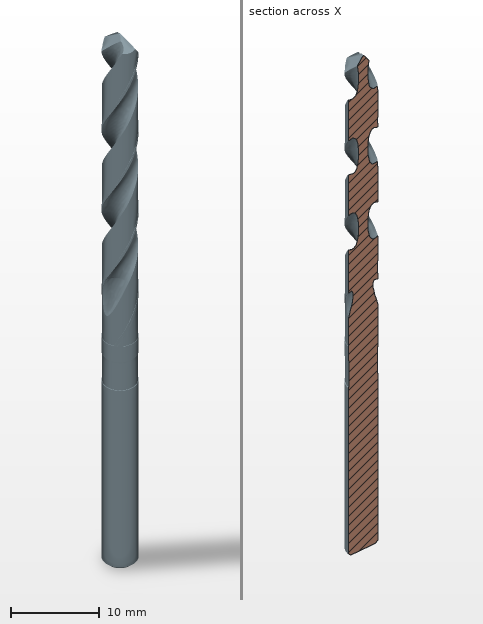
import cadquery as cq
import math

total_length = 75.0
drill_radius = 2.1
shank_chamfer = 0.4

shank_top = 25.65
neck_top = 29.7
margin_start = 31.95
runout_start = 35.7
flute_start = 40.65

neck_radius = 2.0
margin_height = 0.045
body_radius = drill_radius - margin_height

flute_count = 2
helix_pitch = 22.8
core_radius = 0.7
flute_radius = 1.4
flute_offset = core_radius + flute_radius
flute_zero_height = 66.2
flute_half_angle = 40.0
runout_turn = 35.0
margin_angle = 9.0
margin_overlap = 5.0

ridge_angle = 3.0
ridge_slope = 0.72
flank_slope = 1.5
chisel_half_length = 0.15
chisel_half_width = 0.1
point_depth = 4.5


def flute_angle(height):
    return 360.0 * (height - flute_zero_height) / helix_pitch


def polar_point(radius, angle):
    turn = math.radians(angle)
    return radius * math.cos(turn), radius * math.sin(turn)


def twisted(profile, bottom, angle):
    """Extrude a profile from bottom to the tip, turning it with the flutes."""
    length = total_length - bottom
    solid = profile.twistExtrude(length, 360.0 * length / helix_pitch)
    return solid.rotate((0, 0, 0), (0, 0, 1), angle).translate((0, 0, bottom))


def margin_rib(angle):
    """Narrow raised band on the leading edge of a land."""
    first = -flute_half_angle - margin_angle
    last = -flute_half_angle + margin_overlap
    inner = core_radius + flute_radius / 2
    profile = (
        cq.Workplane("XY")
        .moveTo(*polar_point(inner, first))
        .lineTo(*polar_point(drill_radius, first))
        .threePointArc(
            polar_point(drill_radius, (first + last) / 2),
            polar_point(drill_radius, last),
        )
        .lineTo(*polar_point(inner, last))
        .close()
    )
    return twisted(profile, margin_start, flute_angle(margin_start) + angle)


def flute_cutter(angle):
    """Helical flute with a round section."""
    profile = cq.Workplane("XY").moveTo(flute_offset, 0).circle(flute_radius)
    return twisted(profile, flute_start, flute_angle(flute_start) + angle)


def flute_runout(angle):
    """Tapered end of a flute that rises out to the drill surface."""
    exit_x, exit_y = polar_point(drill_radius + flute_radius, -runout_turn)
    cutter = (
        cq.Workplane("XY")
        .center(exit_x, exit_y)
        .circle(flute_radius)
        .workplane(offset=flute_start - runout_start)
        .center(flute_offset - exit_x, -exit_y)
        .circle(flute_radius)
        .loft(ruled=True)
    )
    turn = flute_angle(flute_start) + angle
    return cutter.rotate((0, 0, 0), (0, 0, 1), turn).translate((0, 0, runout_start))


def point_envelope():
    """Shaft envelope that ends in a four-sided point with a short chisel edge."""
    base_length = 2 * (chisel_half_length + point_depth / ridge_slope)
    base_width = 2 * (chisel_half_width + point_depth / flank_slope)
    point_base = total_length - point_depth
    point = (
        cq.Workplane("XY", origin=(0, 0, point_base))
        .rect(base_length, base_width)
        .workplane(offset=point_depth)
        .rect(2 * chisel_half_length, 2 * chisel_half_width)
        .loft(ruled=True)
    )
    shaft = cq.Workplane("XY").rect(base_length, base_width).extrude(point_base)
    return shaft.union(point).rotate((0, 0, 0), (0, 0, 1), ridge_angle)


shank = cq.Workplane("XY").circle(drill_radius).extrude(shank_top)
shank = shank.faces("<Z").chamfer(shank_chamfer)
neck = (
    cq.Workplane("XY", origin=(0, 0, shank_top))
    .circle(neck_radius)
    .extrude(neck_top - shank_top)
)
collar = (
    cq.Workplane("XY", origin=(0, 0, neck_top))
    .circle(drill_radius)
    .extrude(margin_start - neck_top)
)
body = (
    cq.Workplane("XY", origin=(0, 0, margin_start))
    .circle(body_radius)
    .extrude(total_length - margin_start)
)

flute_turns = [360.0 * index / flute_count for index in range(flute_count)]
for turn in flute_turns:
    body = body.union(margin_rib(turn))
for turn in flute_turns:
    body = body.cut(flute_cutter(turn)).cut(flute_runout(turn))

result = shank.union(neck).union(collar).union(body).intersect(point_envelope())